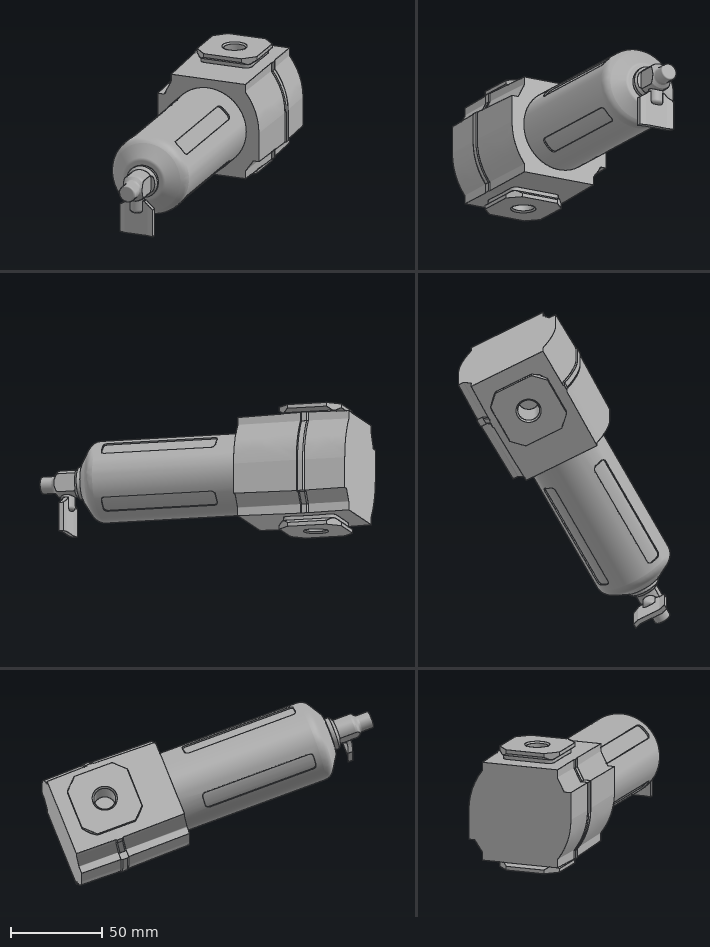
import cadquery as cq
import math


TOTAL_LENGTH = 181.5
TOTAL_HEIGHT = 68.0

HEAD_REAR = 25.2
HEAD_FRONT = 38.3
HEAD_HALF_HEIGHT = 28.1
HEAD_HALF_WIDTH = 30.7
TOP_HALF_WIDTH = 22.7
SHOULDER_HEIGHT = 23.2
LEFT_SHELF = 16.0
RIGHT_SHELF = 17.0
LEFT_SHELF_INNER = 26.5
RIGHT_SHELF_INNER = 27.0
DRAFT_ANGLE = 1.0

RIB_HEIGHT = 0.45
RIB_TOP_WIDTH = 2.9
RIB_BASE_WIDTH = 4.5

PORT_TOP = TOTAL_HEIGHT / 2
PLATE_SIZE = 35.4
PLATE_EDGE = 2.2
PLATE_BEVEL = 1.8
PLATE_CORNER = 6.5
NECK_SIZE = 30.0
NECK_CORNER_RADIUS = 3.5
PORT_DIAMETER = 12.0
PORT_CHAMFER = 0.9
PORT_DEPTH = 16.3

BOWL_RADIUS = 22.5
BOWL_END = 131.4
CONE_END_RADIUS = 11.8
CONE_LENGTH = 6.9
SHOULDER_FILLET = 6.4
CONE_END_FILLET = 2.7

WINDOW_START = 52.3
WINDOW_END = 117.2
WINDOW_WIDTH = 9.5
WINDOW_DEPTH = 0.9
WINDOW_CORNER_RADIUS = 2.2
WINDOW_COUNT = 4

STEM_RADIUS = 8.5
COLLAR_RADIUS = 9.0
COLLAR_CREST = 133.5
COLLAR_CONE_START = 134.1
COLLAR_CONE_END = 136.0
BARREL_RADIUS = 15.0 / 2
BARREL_CONE_START = 146.3
BARREL_CONE_END = 148.6
BARREL_CONE_FILLET = 1.8
FLATS_WIDTH = 11.3
FLATS_START = 135.4
FLATS_HALF_HEIGHT = 5.0
FLATS_CORNER_RADIUS = 1.5
NOSE_RADIUS = 4.7
NOSE_END = TOTAL_LENGTH - HEAD_REAR
NOSE_FILLET = 0.9

LEVER_POSITION = 141.4
BOSS_RADIUS = 4.0
BOSS_BOTTOM = 15.0
BOSS_FILLET = 2.0
LEVER_THICKNESS = 2.7
LEVER_HALF_WIDTH = 10.2
BEND_HALF_WIDTH = 6.7
WING_OFFSET = 1.0
LEVER_TOP_HALF_WIDTH = 4.7
LEVER_TOP = 8.0
BEND_TOP = 9.8
WING_TOP = 12.0
LEVER_BOTTOM = 27.8


def head_outline(offset, growth):
    """Head section at a distance in front of the port axis, with its sides moved out by growth."""
    half_width = HEAD_HALF_WIDTH + growth
    top_half = TOP_HALF_WIDTH + growth
    bulge_radius = (SHOULDER_HEIGHT**2 + (half_width - top_half) ** 2) / (2 * (half_width - top_half))
    half_angle = math.asin(SHOULDER_HEIGHT / bulge_radius) / 2
    mid_x = half_width - bulge_radius * (1 - math.cos(half_angle))
    mid_z = bulge_radius * math.sin(half_angle)
    return (
        cq.Workplane("XZ", origin=(0, -offset, 0))
        .moveTo(-top_half, HEAD_HALF_HEIGHT)
        .lineTo(top_half, HEAD_HALF_HEIGHT)
        .lineTo(top_half, SHOULDER_HEIGHT)
        .threePointArc((mid_x, mid_z), (half_width, 0))
        .lineTo(half_width, -RIGHT_SHELF)
        .lineTo(RIGHT_SHELF_INNER + growth, -RIGHT_SHELF)
        .lineTo(top_half, -SHOULDER_HEIGHT)
        .lineTo(top_half, -HEAD_HALF_HEIGHT)
        .lineTo(-top_half, -HEAD_HALF_HEIGHT)
        .lineTo(-top_half, -SHOULDER_HEIGHT)
        .threePointArc((-mid_x, -mid_z), (-half_width, 0))
        .lineTo(-half_width, LEFT_SHELF)
        .lineTo(-LEFT_SHELF_INNER - growth, LEFT_SHELF)
        .lineTo(-top_half, SHOULDER_HEIGHT)
        .close()
    )


def make_rib():
    """Bevelled rib on the head's sides, symmetric about the parting plane."""
    top_half = RIB_TOP_WIDTH / 2
    base_half = RIB_BASE_WIDTH / 2
    crest = head_outline(-top_half, RIB_HEIGHT).extrude(RIB_TOP_WIDTH)
    crest_wire = head_outline(top_half, RIB_HEIGHT).val()
    base_wire = head_outline(base_half, 0).val()
    bevel = cq.Workplane(cq.Solid.makeLoft([crest_wire, base_wire], True))
    rib = crest.union(bevel).union(bevel.mirror("XZ"))
    slab_width = 3 * HEAD_HALF_WIDTH
    half_slab = (
        cq.Workplane("XZ")
        .rect(slab_width, 2 * HEAD_HALF_HEIGHT)
        .extrude(HEAD_REAR, taper=DRAFT_ANGLE)
    )
    return rib.intersect(half_slab.union(half_slab.mirror("XZ")))


def make_port():
    """Upper port: a plate with bevelled edges and cut corners on a rounded square neck."""
    bevel_top = PORT_TOP - PLATE_EDGE
    neck_top = bevel_top - PLATE_BEVEL
    plate = cq.Workplane("XY", origin=(0, 0, bevel_top)).rect(PLATE_SIZE, PLATE_SIZE).extrude(PLATE_EDGE)
    bevel = (
        cq.Workplane("XY", origin=(0, 0, neck_top))
        .rect(NECK_SIZE, NECK_SIZE)
        .workplane(offset=PLATE_BEVEL)
        .rect(PLATE_SIZE, PLATE_SIZE)
        .loft(ruled=True)
    )
    corner_cutter = (
        cq.Workplane("XY")
        .rect(PLATE_SIZE, PLATE_SIZE)
        .extrude(PORT_TOP)
        .edges("|Z")
        .chamfer(PLATE_CORNER)
    )
    neck = (
        cq.Workplane("XY")
        .rect(NECK_SIZE, NECK_SIZE)
        .extrude(neck_top)
        .edges("|Z")
        .fillet(NECK_CORNER_RADIUS)
    )
    return plate.union(bevel).intersect(corner_cutter).union(neck)


def make_port_hole():
    """Blind hole of the upper port, with a chamfered mouth."""
    radius = PORT_DIAMETER / 2
    floor = PORT_TOP - PORT_DEPTH
    return (
        cq.Workplane("XZ")
        .moveTo(0, floor)
        .lineTo(radius, floor)
        .lineTo(radius, PORT_TOP - PORT_CHAMFER)
        .lineTo(radius + PORT_CHAMFER, PORT_TOP)
        .lineTo(0, PORT_TOP)
        .close()
        .revolve(360, (0, 0), (0, 1))
    )


def make_head():
    front_half = head_outline(0, 0).extrude(HEAD_FRONT, taper=DRAFT_ANGLE)
    rear_half = head_outline(0, 0).extrude(HEAD_REAR, taper=DRAFT_ANGLE).mirror("XZ")
    port = make_port()
    hole = make_port_hole()
    head = front_half.union(rear_half).union(make_rib())
    head = head.union(port).union(port.mirror("XY"))
    return head.cut(hole).cut(hole.mirror("XY"))


def revolve_about_y(points):
    """Solid of revolution from (radius, distance in front of the port axis) points."""
    profile = [(radius, -distance) for radius, distance in points]
    return cq.Workplane("XY").polyline(profile).close().revolve(360, (0, 0), (0, 1))


def make_window_cutters():
    """Rounded windows between the bowl's surface and a smaller concentric cylinder."""
    length = WINDOW_END - WINDOW_START
    block = (
        cq.Workplane("XY", origin=(0, -(WINDOW_START + WINDOW_END) / 2, 0))
        .rect(WINDOW_WIDTH, length)
        .extrude(2 * BOWL_RADIUS)
        .edges("|Z")
        .fillet(WINDOW_CORNER_RADIUS)
    )
    floor_radius = BOWL_RADIUS - WINDOW_DEPTH
    core = cq.Workplane("XZ", origin=(0, -HEAD_FRONT, 0)).circle(floor_radius).extrude(BOWL_END - HEAD_FRONT)
    cutter = block.cut(core)
    step = 360 / WINDOW_COUNT
    return [cutter.rotate((0, 0, 0), (0, 1, 0), (i + 0.5) * step) for i in range(WINDOW_COUNT)]


def circle_at(solid, distance, radius):
    """The circular edge of a revolved solid at a distance in front of the port axis."""
    margin = 0.02
    return solid.edges(cq.selectors.BoxSelector(
        (-radius - margin, -distance - margin, -radius - margin),
        (radius + margin, -distance + margin, radius + margin),
        boundingbox=True,
    ))


def make_bowl():
    cone_start = BOWL_END - CONE_LENGTH
    bowl = revolve_about_y([
        (0, HEAD_FRONT),
        (BOWL_RADIUS, HEAD_FRONT),
        (BOWL_RADIUS, cone_start),
        (CONE_END_RADIUS, BOWL_END),
        (0, BOWL_END),
    ])
    bowl = circle_at(bowl, cone_start, BOWL_RADIUS).fillet(SHOULDER_FILLET)
    bowl = circle_at(bowl, BOWL_END, CONE_END_RADIUS).fillet(CONE_END_FILLET)
    for cutter in make_window_cutters():
        bowl = bowl.cut(cutter)
    return bowl


def make_collar():
    """Collar that swells from the bowl's end to a rounded crest, then narrows to the barrel."""
    crest_middle = (BOWL_END + COLLAR_CREST) / 2
    middle_radius = COLLAR_RADIUS - (COLLAR_RADIUS - STEM_RADIUS) / 4
    return (
        cq.Workplane("XY")
        .moveTo(0, -BOWL_END)
        .lineTo(STEM_RADIUS, -BOWL_END)
        .threePointArc((middle_radius, -crest_middle), (COLLAR_RADIUS, -COLLAR_CREST))
        .lineTo(COLLAR_RADIUS, -COLLAR_CONE_START)
        .lineTo(BARREL_RADIUS, -COLLAR_CONE_END)
        .lineTo(0, -COLLAR_CONE_END)
        .close()
        .revolve(360, (0, 0), (0, 1))
    )


def make_flat_cutter():
    """Block that cuts the flat on the +X side of the barrel; its inner corners are rounded."""
    length = NOSE_END - FLATS_START
    return (
        cq.Workplane("YZ", origin=(FLATS_WIDTH / 2, -FLATS_START - length / 2, 0))
        .rect(length, 2 * FLATS_HALF_HEIGHT)
        .extrude(COLLAR_RADIUS)
        .edges("|X and >Y")
        .fillet(FLATS_CORNER_RADIUS)
    )


def make_valve_body():
    """Collar, flatted barrel and round nose of the drain valve."""
    barrel = revolve_about_y([
        (0, COLLAR_CONE_START),
        (BARREL_RADIUS, COLLAR_CONE_START),
        (BARREL_RADIUS, BARREL_CONE_START),
        (NOSE_RADIUS, BARREL_CONE_END),
        (NOSE_RADIUS, NOSE_END),
        (0, NOSE_END),
    ])
    barrel = circle_at(barrel, BARREL_CONE_START, BARREL_RADIUS).fillet(BARREL_CONE_FILLET)
    barrel = circle_at(barrel, BARREL_CONE_END, NOSE_RADIUS).fillet(BARREL_CONE_FILLET)
    barrel = circle_at(barrel, NOSE_END, NOSE_RADIUS).fillet(NOSE_FILLET)
    flat_cutter = make_flat_cutter()
    return make_collar().union(barrel).cut(flat_cutter).cut(flat_cutter.mirror("YZ"))


def make_lever():
    """Downward lever whose two wings bend in opposite directions, with slanted upper corners."""
    half = LEVER_THICKNESS / 2
    section = (
        cq.Workplane("XY", origin=(0, -LEVER_POSITION, -LEVER_BOTTOM))
        .polyline([
            (-LEVER_HALF_WIDTH, half + WING_OFFSET),
            (-BEND_HALF_WIDTH, half),
            (BEND_HALF_WIDTH, half),
            (LEVER_HALF_WIDTH, half - WING_OFFSET),
            (LEVER_HALF_WIDTH, -half - WING_OFFSET),
            (BEND_HALF_WIDTH, -half),
            (-BEND_HALF_WIDTH, -half),
            (-LEVER_HALF_WIDTH, -half + WING_OFFSET),
        ])
        .close()
        .extrude(LEVER_BOTTOM - LEVER_TOP)
    )
    face = (
        cq.Workplane("XZ", origin=(0, -LEVER_POSITION, 0))
        .polyline([
            (-LEVER_HALF_WIDTH, -LEVER_BOTTOM),
            (LEVER_HALF_WIDTH, -LEVER_BOTTOM),
            (LEVER_HALF_WIDTH, -WING_TOP),
            (BEND_HALF_WIDTH, -BEND_TOP),
            (LEVER_TOP_HALF_WIDTH, -LEVER_TOP),
            (-LEVER_TOP_HALF_WIDTH, -LEVER_TOP),
            (-BEND_HALF_WIDTH, -BEND_TOP),
            (-LEVER_HALF_WIDTH, -WING_TOP),
        ])
        .close()
        .extrude(LEVER_THICKNESS + WING_OFFSET, both=True)
    )
    return section.intersect(face)


def make_drain_valve():
    boss = (
        cq.Workplane("XY", origin=(0, -LEVER_POSITION, -BOSS_BOTTOM))
        .circle(BOSS_RADIUS)
        .extrude(BOSS_BOTTOM)
        .faces("<Z")
        .edges()
        .fillet(BOSS_FILLET)
    )
    return make_valve_body().union(boss).union(make_lever())


head = make_head()
bowl = make_bowl()
drain_valve = make_drain_valve()

result = cq.Compound.makeCompound([head.val(), bowl.val(), drain_valve.val()])